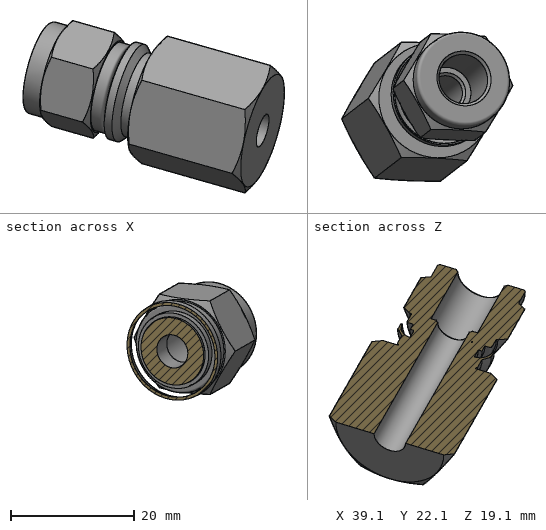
import cadquery as cq
import math

length = 39.07
nut_start = 3.1
nut_end = 12.0
sleeve_end = 14.05
flange_start = 14.6
neck_end = 15.3
flange_rim_end = 15.98
flange_cone_end = 17.07
body_start = 19.22

collar_diameter = 15.5
nut_flats = 15.85
sleeve_diameter = 15.0
neck_diameter = 12.7
core_diameter = 11.4
flange_diameter = 16.5
shank_diameter = 14.2
flange_recess_diameter = 15.95
body_flats = 19.1
body_face_diameter = 19.0

tube_diameter = 8.13
tube_depth = 11.72
tube_mouth_chamfer = 0.45
passage_diameter = 5.5
passage_mouth_diameter = 6.35

collar_round = 0.5
sleeve_round = 0.35
shank_chamfer = 0.3
hex_chamfer_angle = 30.0
half_quarter_turn = math.radians(45)


def cylinder(start, end, diameter):
    """Solid cylinder on the X axis between two X positions."""
    return cq.Workplane("YZ", origin=(start, 0, 0)).circle(diameter / 2).extrude(end - start)


def hexagon(start, end, flats, face_diameter):
    """Hexagonal prism with corners along Y and conical chamfers at both ends."""
    corner_radius = flats / 2 / math.cos(math.pi / 6)
    prism = (
        cq.Workplane("YZ", origin=(start, 0, 0))
        .polygon(6, 2 * corner_radius)
        .extrude(end - start)
    )
    chamfer_width = corner_radius - face_diameter / 2
    chamfer_depth = chamfer_width * math.tan(math.radians(hex_chamfer_angle))
    envelope = (
        cq.Workplane("XY")
        .moveTo(start, 0)
        .lineTo(start, face_diameter / 2)
        .lineTo(start + chamfer_depth, corner_radius)
        .lineTo(end - chamfer_depth, corner_radius)
        .lineTo(end, face_diameter / 2)
        .lineTo(end, 0)
        .close()
        .revolve(360, (0, 0, 0), (1, 0, 0))
    )
    return prism.intersect(envelope)


collar = cylinder(0, nut_start, collar_diameter).faces("<X").edges().fillet(collar_round)
nut_hex = hexagon(nut_start, nut_end, nut_flats, collar_diameter)
sleeve = cylinder(nut_end, sleeve_end, sleeve_diameter).faces(">X").edges().fillet(sleeve_round)
nut = collar.union(nut_hex).union(sleeve)

neck = cylinder(sleeve_end, neck_end, neck_diameter)
core = cylinder(neck_end, flange_cone_end, core_diameter)
flange = (
    cq.Workplane("XY")
    .moveTo(flange_start, 0)
    .lineTo(flange_start, flange_diameter / 2)
    .lineTo(flange_rim_end, flange_diameter / 2)
    .lineTo(flange_cone_end, shank_diameter / 2)
    .lineTo(flange_cone_end, 0)
    .close()
    .revolve(360, (0, 0, 0), (1, 0, 0))
)
recess_radius = (flange_recess_diameter - core_diameter) / 2
recess_middle = recess_radius * math.sin(half_quarter_turn)
recess = (
    cq.Workplane("XY")
    .moveTo(flange_start, core_diameter / 2)
    .lineTo(flange_start + recess_radius, core_diameter / 2)
    .threePointArc(
        (flange_start + recess_middle, core_diameter / 2 + recess_middle),
        (flange_start, flange_recess_diameter / 2),
    )
    .close()
    .revolve(360, (0, 0, 0), (1, 0, 0))
)
flange = flange.cut(recess)
shank = cylinder(flange_cone_end, body_start, shank_diameter).faces(">X").edges().chamfer(shank_chamfer)

body = hexagon(body_start, length, body_flats, body_face_diameter)

passage_chamfer = (passage_mouth_diameter - passage_diameter) / 2
bore = (
    cq.Workplane("XY")
    .lineTo(0, tube_diameter / 2 + tube_mouth_chamfer)
    .lineTo(tube_mouth_chamfer, tube_diameter / 2)
    .lineTo(tube_depth, tube_diameter / 2)
    .lineTo(tube_depth, passage_mouth_diameter / 2)
    .lineTo(tube_depth + passage_chamfer, passage_diameter / 2)
    .lineTo(length, passage_diameter / 2)
    .lineTo(length, 0)
    .close()
    .revolve(360, (0, 0, 0), (1, 0, 0))
)

result = nut.union(neck).union(core).union(flange).union(shank).union(body).cut(bore)